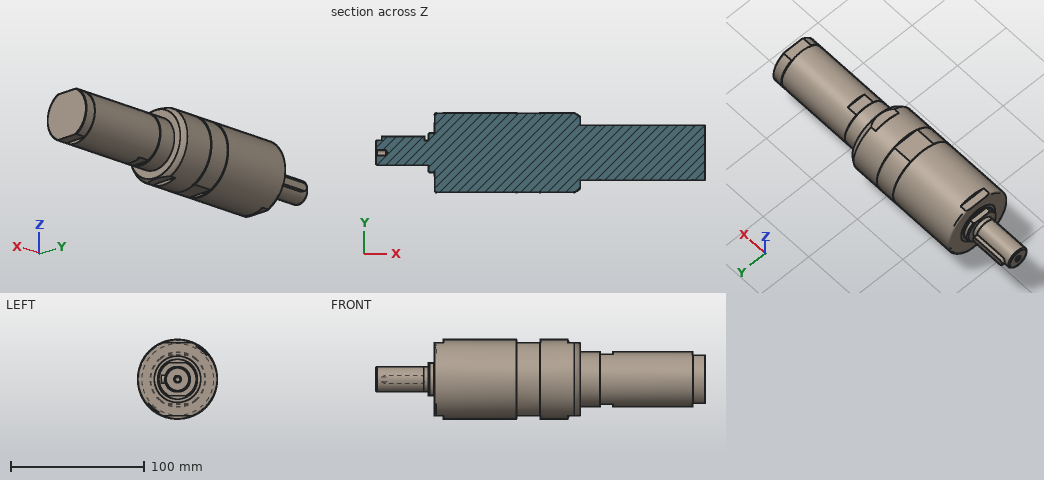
import cadquery as cq

shaft_relief_x = 36.0
collar_x = 39.5
body_front_x = 44.0
front_flats_end_x = 50.7
middle_flats_x = 106.0
middle_flats_end_x = 123.8
rear_flats_x = 144.0
shoulder_x = 149.0
body_end_x = 153.7
neck_flats_x = 168.8
neck_flats_end_x = 178.2
tail_flats_x = 238.0
total_length = 247.5

shaft_diameter = 19.0
relief_diameter = 18.8
shaft_chamfer = 1.0
key_width = 6.2
key_start_x = 4.5
key_end_x = 36.6
key_top = 12.4
center_hole_diameter = 4.0
center_hole_depth = 7.5
center_hole_tip = 1.2
countersink_diameter = 5.5
countersink_depth = 1.0

collar_diameter = 30.0
collar_flats = 24.8
collar_chamfer = 1.0
collar_back_chamfer = 0.5
seal_groove_diameter = 35.0
seal_groove_depth = 0.2

body_diameter = 60.0
body_flats = 55.0
body_front_fillet = 1.5
rear_end_diameter = 54.0
shoulder_mid_x = 151.7
shoulder_mid_diameter = 57.0
flat_wall_run = 1.0

tube_diameter = 41.5
neck_flats = 37.9
tail_flats = 36.5

edge_chamfer = 0.5


def cylinder(start, end, diameter):
    """Solid cylinder on the X axis."""
    return cq.Workplane("YZ", origin=(start, 0, 0)).circle(diameter / 2).extrude(end - start)


def with_flats(section, across_flats):
    """Trim a section to two parallel flats facing +Z and -Z."""
    slab = cq.Workplane("XY").box(2 * total_length, 2 * body_diameter, across_flats)
    return section.intersect(slab)


def make_center_hole():
    """Drilled hole in the shaft tip with a countersunk mouth and a conical bottom."""
    return (
        cq.Workplane("XY")
        .moveTo(0, 0)
        .lineTo(0, countersink_diameter / 2)
        .lineTo(countersink_depth, center_hole_diameter / 2)
        .lineTo(center_hole_depth, center_hole_diameter / 2)
        .lineTo(center_hole_depth + center_hole_tip, 0)
        .close()
        .revolve(360, (0, 0, 0), (1, 0, 0))
    )


def make_shaft():
    shaft = cylinder(0, shaft_relief_x, shaft_diameter).faces("<X").chamfer(shaft_chamfer)
    shaft = shaft.union(cylinder(shaft_relief_x, collar_x, relief_diameter))
    key = (
        cq.Workplane("XZ", origin=((key_start_x + key_end_x) / 2, 0, 0))
        .slot2D(key_end_x - key_start_x, key_width)
        .extrude(-key_top)
    )
    return shaft.union(key).cut(make_center_hole())


def make_collar():
    collar = cylinder(collar_x, body_front_x, collar_diameter)
    collar = collar.faces("<X").chamfer(collar_chamfer)
    collar = collar.faces(">X").chamfer(collar_back_chamfer)
    return with_flats(collar, collar_flats)


def make_rear_cap():
    """Turned cap with a bulged shoulder, before its flats are cut."""
    radius = body_diameter / 2
    return (
        cq.Workplane("XY")
        .moveTo(rear_flats_x, 0)
        .lineTo(rear_flats_x, radius)
        .lineTo(shoulder_x, radius)
        .threePointArc((shoulder_mid_x, shoulder_mid_diameter / 2), (body_end_x, rear_end_diameter / 2))
        .lineTo(body_end_x, 0)
        .close()
        .revolve(360, (0, 0, 0), (1, 0, 0))
    )


def make_body():
    front = cylinder(body_front_x, front_flats_end_x, body_diameter)
    front = with_flats(front.faces("<X").edges().fillet(body_front_fillet), body_flats)
    seal_groove = cylinder(body_front_x, body_front_x + seal_groove_depth, seal_groove_diameter).cut(
        cylinder(body_front_x, body_front_x + seal_groove_depth, collar_diameter)
    )
    front = front.cut(seal_groove)

    barrel = cylinder(front_flats_end_x, middle_flats_x, body_diameter)
    barrel = barrel.faces(">X").chamfer(edge_chamfer)

    middle = cylinder(middle_flats_x, middle_flats_end_x, body_diameter)
    middle = with_flats(middle.faces(">X").chamfer(edge_chamfer), body_flats)

    cone_drop = (body_diameter - body_flats) / 2
    band = cylinder(middle_flats_end_x, rear_flats_x + flat_wall_run, body_diameter)
    band = band.faces(">X").edges().chamfer(flat_wall_run, cone_drop)

    rear = with_flats(make_rear_cap(), body_flats)
    return front.union(barrel).union(middle).union(band).union(rear)


def make_tube():
    neck = cylinder(body_end_x, neck_flats_x, tube_diameter).faces(">X").chamfer(edge_chamfer)
    neck_grip = with_flats(cylinder(neck_flats_x, neck_flats_end_x, tube_diameter), neck_flats)
    motor = cylinder(neck_flats_end_x, tail_flats_x, tube_diameter)
    tail = cylinder(tail_flats_x, total_length, tube_diameter)
    tail = with_flats(tail.faces("<X or >X").chamfer(edge_chamfer), tail_flats)
    return neck.union(neck_grip).union(motor).union(tail)


result = make_shaft().union(make_collar()).union(make_body()).union(make_tube())